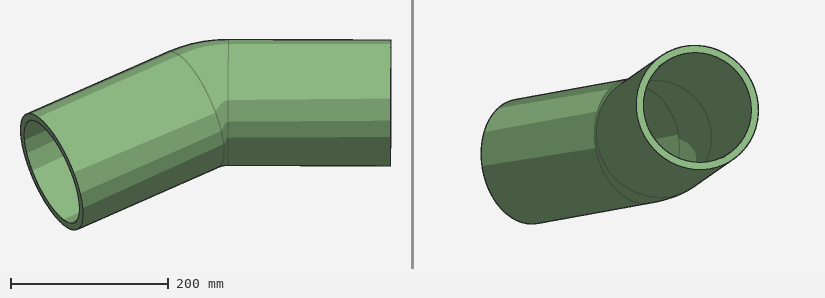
import cadquery as cq
import math

overall_length = 469.0
outer_diameter = 160.0
inner_diameter = 141.0
bend_angle = 30.0
bend_radius = 89.5

turn = math.radians(bend_angle)
outer_bend_radius = bend_radius + outer_diameter / 2
leg_length = (overall_length - outer_bend_radius * math.sin(turn)) / (1 + math.cos(turn))


def elbow(diameter):
    """Solid round bar: straight leg, circular bend, straight leg."""
    radius = diameter / 2
    first_leg = cq.Workplane("XZ").circle(radius).extrude(-leg_length)
    bend = (
        cq.Workplane("XZ", origin=(0, leg_length, 0))
        .circle(radius)
        .revolve(bend_angle, (bend_radius, 0, 0), (bend_radius, -1, 0))
    )
    bend_end = cq.Vector(
        bend_radius * (1 - math.cos(turn)),
        leg_length + bend_radius * math.sin(turn),
        0,
    )
    leg_direction = cq.Vector(math.sin(turn), math.cos(turn), 0)
    end_plane = cq.Plane(origin=bend_end, xDir=(0, 0, 1), normal=leg_direction)
    second_leg = cq.Workplane(end_plane).circle(radius).extrude(leg_length)
    return first_leg.union(bend).union(second_leg)


result = elbow(outer_diameter).cut(elbow(inner_diameter))